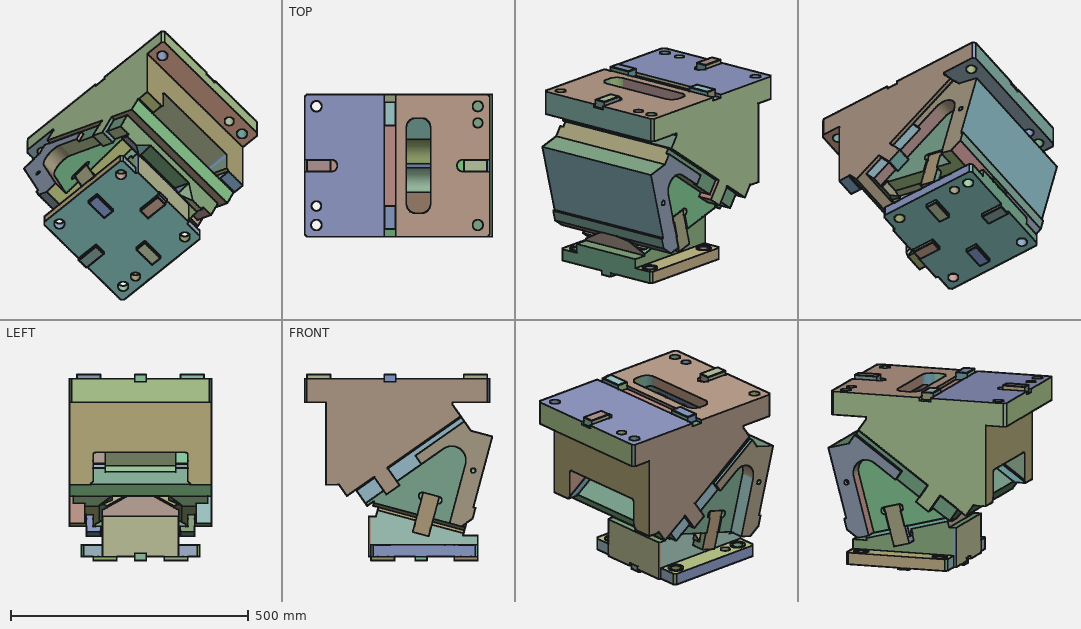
import cadquery as cq
import math


CAM_ANGLE = math.radians(35)
GUIDE_ANGLE = math.radians(15)
SHUT_HEIGHT = 375.0
UNIT_WIDTH = 300.0
HALF_WIDTH = UNIT_WIDTH / 2

CAM_ORIGIN = (89.2, 127.6)
GUIDE_ORIGIN = (145.78, 113.3)
CORNER_CHAMFER = 5.0
OVERCUT = 20.0

KEY_LENGTH = 50.0
KEY_WIDTH = 25.0
KEY_HEIGHT = 16.0
KEY_SEAT = 7.0
KEY_CHAMFER = 1.0

BOLT_DIAMETER = 22.0
DOWEL_DIAMETER = 20.0

DRIVER_LENGTH = 390.0
DRIVER_PLATE = 50.0
DRIVER_BODY_LEFT = 45.0
DRIVER_BODY_BOTTOM = 151.0
DRIVER_NECK = (312.0, 320.0)
CAM_LENGTH = 293.0
HOOK_START = 70.0
HOOK_END = 104.0
HOOK_DEPTH = 45.0
DRIVER_HOLE_INSET = 25.0
DRIVER_DOWEL_LEFT_Y = -85.0
DRIVER_DOWEL_RIGHT_Y = 90.0
DRIVER_GROOVE_X = 180.0
DRIVER_CROSS_KEY_Y = 109.0
DRIVER_SEAT_LENGTH = 69.0
DRIVER_KEY_INSET = 5.0

POCKET_X = 240.0
POCKET_HALF_LENGTH = 100.0
POCKET_WIDTH = 51.0
POCKET_CORNER = 20.0
POCKET_FLOOR = 59.0
UNDERCUT_START = 220.0
UNDERCUT_END = 273.0
UNDERCUT_HEIGHT = 25.0
SPRING_RADIUS = 26.0
SPRING_Y = 30.0

WINDOW_HALF_WIDTH = 100.0
WINDOW_TOP = 219.4
WINDOW_CORNER = 5.0
WINDOW_FLARE = 5.0
FLARE_HEIGHT = 20.0
WINDOW_FLOOR = 30.8
RECESS_HALF_WIDTH = 74.0
RECESS_DEPTH = 15.0
RECESS_START = 45.5
RECESS_END = 89.0
STEP_STARTS = (58.5, 71.5)
STEP_HEIGHT = 1.5

CAM_GAP = 1.5
FLANGE_START = 23.0
FLANGE_BOTTOM = 35.0
FLANGE_HALF_WIDTH = 142.0
NOSE_BOTTOM = 41.6
CORE_HALF_WIDTH = 117.0
SHOULDER_START = 167.0
SHOULDER_DROP = 13.0
SLIDER_FACE = 205.3
SLIDER_TOP = 199.9
HEEL_FACE = 210.0
HEEL_TOP = 45.5
HEEL_BOTTOM = 22.0
GUIDE_END = 199.6
TOE_START = 191.5
POCKET_WALL = 165.4
SIDE_POCKET_RADIUS = 30.0
LIP_DEPTH = 7.0
LIP_OUTER = 87.0
NOSE_VEE_FLAT = 60.0
NOSE_VEE_DEPTH = 9.0
NOSE_WEB = 16.0
SIDE_HOLE = (355.3, 181.5)
SIDE_HOLE_DIAMETER = 10.0
SIDE_HOLE_DEPTH = 15.0
DRILL_POINT_ANGLE = math.radians(118)

RETAINER_START = 95.0
RETAINER_END = 130.0
RETAINER_TOP = 48.2
RETAINER_BOTTOM = -38.0
RETAINER_FOOT = 12.5
RETAINER_OUTER = 114.0
RETAINER_INNER = 100.0
RETAINER_FOOT_INNER = 84.0
RELIEF_RADIUS = 7.5

BASE_LEFT = 135.0
BASE_RIGHT = 365.0
BASE_HALF_WIDTH = 81.0
BASE_LEFT_HEIGHT = 85.0
BASE_RIGHT_HEIGHT = 45.0
BASE_EDGE_CHAMFER = (5.4, 1.6)
ROOF_START = 11.5
ROOF_EAVE = -12.8
ROOF_PITCH = math.radians(30)
ROOF_FLAT = 20.0
FLANGE_LEFT = 140.0
BASE_FLANGE_HALF_WIDTH = 125.0
BASE_FLANGE_HEIGHT = 25.0
BASE_BOLT_X = (165.0, 340.0)
BASE_HOLE_Y = 100.0
BASE_DOWEL_X = 305.0
SPOTFACE_DIAMETER = 31.5
SPOTFACE_DEPTH = 1.0
BASE_KEY_X = 245.5
BASE_CROSS_KEY_Y = 75.0
LUG_OUTER = 95.0


def cam(along, above):
    """X, Z of a point given along the cam face and square to it."""
    x = CAM_ORIGIN[0] + along * math.cos(CAM_ANGLE) - above * math.sin(CAM_ANGLE)
    z = CAM_ORIGIN[1] + along * math.sin(CAM_ANGLE) + above * math.cos(CAM_ANGLE)
    return (x, z)


def guide(along, above):
    """X, Z of a point given along the falling guide and square to it."""
    x = GUIDE_ORIGIN[0] + along * math.cos(GUIDE_ANGLE) + above * math.sin(GUIDE_ANGLE)
    z = GUIDE_ORIGIN[1] - along * math.sin(GUIDE_ANGLE) + above * math.cos(GUIDE_ANGLE)
    return (x, z)


BETWEEN = CAM_ANGLE + GUIDE_ANGLE
OFFSET_X = CAM_ORIGIN[0] - GUIDE_ORIGIN[0]
OFFSET_Z = CAM_ORIGIN[1] - GUIDE_ORIGIN[1]
CAM_ORIGIN_ALONG = OFFSET_X * math.cos(GUIDE_ANGLE) - OFFSET_Z * math.sin(GUIDE_ANGLE)
CAM_ORIGIN_ABOVE = OFFSET_X * math.sin(GUIDE_ANGLE) + OFFSET_Z * math.cos(GUIDE_ANGLE)


def cam_level_at_guide_station(cam_above, guide_along):
    """X, Z where a line parallel to the cam face meets a line square to the guide."""
    reach = guide_along - CAM_ORIGIN_ALONG + cam_above * math.sin(BETWEEN)
    return cam(reach / math.cos(BETWEEN), cam_above)


def cam_station_at_guide_level(cam_along, guide_above):
    """X, Z where a line square to the cam face meets a line parallel to the guide."""
    rise = guide_above - CAM_ORIGIN_ABOVE - cam_along * math.sin(BETWEEN)
    return cam(cam_along, rise / math.cos(BETWEEN))


def slab(outline, y_low, y_high):
    """An X-Z outline extruded between two Y values."""
    plane = cq.Workplane("XZ", origin=(0, y_high, 0))
    return plane.polyline(outline).close().extrude(y_high - y_low)


def wide_slab(outline, half_width):
    return slab(outline, -half_width, half_width)


def both_sides(outline, inner, outer):
    """Two mirrored slabs lying between the given distances from Y = 0."""
    return slab(outline, -outer, -inner).union(slab(outline, inner, outer))


def prism(section, origin, direction):
    """A section in Y and height, extruded along a direction vector in the X-Z plane."""
    x, z = origin
    run_x, run_z = direction
    plane = cq.Plane(origin=(x, 0, z), xDir=(0, 1, 0), normal=(run_x, 0, run_z))
    return cq.Workplane(plane).polyline(section).close().extrude(math.hypot(run_x, run_z))


def cam_prism(section, start, end):
    """A section in Y and height above the cam face, extruded along the cam face."""
    length = end - start
    return prism(section, cam(start, 0), (length * math.cos(CAM_ANGLE), length * math.sin(CAM_ANGLE)))


def guide_prism(section, start, end):
    """A section in Y and height above the guide, extruded along the guide."""
    length = end - start
    return prism(section, guide(start, 0), (length * math.cos(GUIDE_ANGLE), -length * math.sin(GUIDE_ANGLE)))


def mirrored_section(half):
    """Closes a half section, listed for positive Y, by its mirror image."""
    return half + [(-y, height) for y, height in reversed(half)]


def box(x_low, x_high, y_low, y_high, z_low, z_high):
    size = (x_high - x_low, y_high - y_low, z_high - z_low)
    return cq.Workplane("XY").box(*size, centered=False).translate((x_low, y_low, z_low))


def key(x, y, along_x, z_low, exposed_face):
    """A key bar centred on x, y, with the rim of its exposed face chamfered."""
    size_x, size_y = (KEY_LENGTH, KEY_WIDTH) if along_x else (KEY_WIDTH, KEY_LENGTH)
    bar = cq.Workplane("XY").box(size_x, size_y, KEY_HEIGHT, centered=(True, True, False))
    return bar.faces(exposed_face).chamfer(KEY_CHAMFER).translate((x, y, z_low))


def key_seat(open_x, closed_x, z_low, z_high):
    """A slot on Y = 0 open at one X end and rounded at the other."""
    radius = KEY_WIDTH / 2
    centre_x = closed_x - math.copysign(radius, closed_x - open_x)
    straight = box(min(open_x, centre_x), max(open_x, centre_x), -radius, radius, z_low, z_high)
    round_end = cq.Workplane("XY", origin=(centre_x, 0, z_low)).circle(radius).extrude(z_high - z_low)
    return straight.union(round_end)


def drill(points, diameter, z_low, z_high):
    plane = cq.Workplane("XY", origin=(0, 0, z_low))
    return plane.pushPoints(points).circle(diameter / 2).extrude(z_high - z_low)


def spring_pocket():
    """Pocket from the top, undercut at its upper end, with two spring grooves in its sloping floor."""
    shaft = box(
        POCKET_X - POCKET_WIDTH / 2, POCKET_X + POCKET_WIDTH / 2,
        -POCKET_HALF_LENGTH, POCKET_HALF_LENGTH,
        0, SHUT_HEIGHT,
    )
    shaft = shaft.edges("|Z").fillet(POCKET_CORNER)
    undercut = cam_prism(
        [
            (-POCKET_HALF_LENGTH, POCKET_FLOOR - SPRING_RADIUS),
            (POCKET_HALF_LENGTH, POCKET_FLOOR - SPRING_RADIUS),
            (POCKET_HALF_LENGTH, POCKET_FLOOR + UNDERCUT_HEIGHT),
            (-POCKET_HALF_LENGTH, POCKET_FLOOR + UNDERCUT_HEIGHT),
        ],
        UNDERCUT_START,
        UNDERCUT_END,
    )
    along = cq.Vector(math.cos(CAM_ANGLE), 0, math.sin(CAM_ANGLE))
    upper_end = cq.selectors.DirectionMinMaxSelector(along, True)
    undercut = undercut.faces(upper_end).edges("not |Y").fillet(POCKET_CORNER)
    above_floor = wide_slab(
        [
            cam(0, POCKET_FLOOR),
            cam(2 * CAM_LENGTH, POCKET_FLOOR),
            cam(2 * CAM_LENGTH, 2 * CAM_LENGTH),
            cam(0, 2 * CAM_LENGTH),
        ],
        HALF_WIDTH,
    )
    x, z = cam(0, POCKET_FLOOR)
    groove_plane = cq.Plane(origin=(x, 0, z), xDir=(0, 1, 0), normal=along)
    grooves = (
        cq.Workplane(groove_plane)
        .pushPoints([(-SPRING_Y, 0), (SPRING_Y, 0)])
        .circle(SPRING_RADIUS)
        .extrude(2 * CAM_LENGTH)
    )
    return shaft.union(undercut).intersect(above_floor.union(grooves))


def window():
    """Opening in the left wall above a floor parallel to the cam face, with a sunk middle."""
    opening = box(
        DRIVER_BODY_LEFT - OVERCUT, DRIVER_LENGTH / 2,
        -WINDOW_HALF_WIDTH, WINDOW_HALF_WIDTH,
        DRIVER_BODY_BOTTOM - OVERCUT, WINDOW_TOP,
    )
    opening = opening.edges("|X and >Z").fillet(WINDOW_CORNER)
    above_floor = wide_slab(
        [
            cam(-CAM_LENGTH, WINDOW_FLOOR),
            cam(STEP_STARTS[0], WINDOW_FLOOR),
            cam(STEP_STARTS[0], WINDOW_FLOOR + STEP_HEIGHT),
            cam(STEP_STARTS[1], WINDOW_FLOOR + STEP_HEIGHT),
            cam(STEP_STARTS[1], WINDOW_FLOOR + 2 * STEP_HEIGHT),
            cam(CAM_LENGTH, WINDOW_FLOOR + 2 * STEP_HEIGHT),
            cam(CAM_LENGTH, CAM_LENGTH),
            cam(-CAM_LENGTH, CAM_LENGTH),
        ],
        HALF_WIDTH,
    )
    behind_recess = wide_slab(
        [
            cam(RECESS_END, 0),
            cam(CAM_LENGTH, 0),
            cam(CAM_LENGTH, CAM_LENGTH),
            cam(RECESS_END, CAM_LENGTH),
        ],
        RECESS_HALF_WIDTH,
    )
    recess = wide_slab(
        [
            cam(RECESS_START, WINDOW_FLOOR - RECESS_DEPTH),
            cam(RECESS_END, WINDOW_FLOOR - RECESS_DEPTH),
            cam(RECESS_END, WINDOW_FLOOR + 2 * STEP_HEIGHT),
            cam(RECESS_START, WINDOW_FLOOR + 2 * STEP_HEIGHT),
        ],
        RECESS_HALF_WIDTH,
    )
    opening = opening.intersect(above_floor.cut(behind_recess).union(recess))
    flare = mirrored_section(
        [
            (WINDOW_HALF_WIDTH + WINDOW_FLARE, WINDOW_FLOOR),
            (WINDOW_HALF_WIDTH + WINDOW_FLARE, WINDOW_FLOOR + FLARE_HEIGHT - WINDOW_FLARE),
            (WINDOW_HALF_WIDTH, WINDOW_FLOOR + FLARE_HEIGHT),
        ]
    )
    return opening.union(cam_prism(flare, -2 * OVERCUT, STEP_STARTS[0]))


def make_driver():
    plate_bottom = SHUT_HEIGHT - DRIVER_PLATE
    plate = box(0, DRIVER_LENGTH, -HALF_WIDTH, HALF_WIDTH, plate_bottom, SHUT_HEIGHT)
    plate = plate.edges("|Z").chamfer(CORNER_CHAMFER)
    heel_drop = (cam(0, WINDOW_FLOOR)[1] - DRIVER_BODY_BOTTOM) / math.sin(CAM_ANGLE)
    body = wide_slab(
        [
            (DRIVER_BODY_LEFT, plate_bottom),
            (DRIVER_BODY_LEFT, DRIVER_BODY_BOTTOM),
            cam(-heel_drop, WINDOW_FLOOR),
            cam(0, WINDOW_FLOOR),
            cam(0, 0),
            cam(CAM_LENGTH, 0),
            DRIVER_NECK,
            (DRIVER_NECK[0], plate_bottom),
        ],
        HALF_WIDTH,
    )
    cheek = [
        cam(HOOK_START, 0),
        cam(HOOK_END, 0),
        cam(HOOK_END, -HOOK_DEPTH),
        cam(HOOK_START, -HOOK_DEPTH),
    ]
    hook = [
        cam(HOOK_START, -FLANGE_BOTTOM),
        cam(HOOK_END, -FLANGE_BOTTOM),
        cam(HOOK_END, -HOOK_DEPTH),
        cam(HOOK_START, -HOOK_DEPTH),
    ]
    driver = plate.union(body)
    driver = driver.union(both_sides(cheek, FLANGE_HALF_WIDTH, HALF_WIDTH))
    driver = driver.union(both_sides(hook, CORE_HALF_WIDTH, HALF_WIDTH))
    driver = driver.cut(window()).cut(spring_pocket())

    left_x = DRIVER_HOLE_INSET
    right_x = DRIVER_LENGTH - DRIVER_HOLE_INSET
    bolt_y = HALF_WIDTH - DRIVER_HOLE_INSET
    bolts = [(x, y) for x in (left_x, right_x) for y in (-bolt_y, bolt_y)]
    dowels = [(left_x, DRIVER_DOWEL_LEFT_Y), (right_x, DRIVER_DOWEL_RIGHT_Y)]
    driver = driver.cut(drill(bolts, BOLT_DIAMETER, plate_bottom, SHUT_HEIGHT))
    driver = driver.cut(drill(dowels, DOWEL_DIAMETER, plate_bottom, SHUT_HEIGHT))

    seat_z = SHUT_HEIGHT - KEY_SEAT
    groove_left = DRIVER_GROOVE_X - KEY_WIDTH / 2
    groove_right = DRIVER_GROOVE_X + KEY_WIDTH / 2
    driver = driver.cut(box(groove_left, groove_right, -HALF_WIDTH, HALF_WIDTH, seat_z, SHUT_HEIGHT))
    driver = driver.cut(key_seat(0, DRIVER_SEAT_LENGTH, seat_z, SHUT_HEIGHT))
    driver = driver.cut(key_seat(DRIVER_LENGTH, DRIVER_LENGTH - DRIVER_SEAT_LENGTH, seat_z, SHUT_HEIGHT))
    key_x = DRIVER_KEY_INSET + KEY_LENGTH / 2
    for x in (key_x, DRIVER_LENGTH - key_x):
        driver = driver.union(key(x, 0, True, seat_z, ">Z"))
    for y in (-DRIVER_CROSS_KEY_Y, DRIVER_CROSS_KEY_Y):
        driver = driver.union(key(DRIVER_GROOVE_X, y, False, seat_z, ">Z"))
    return driver


def roof_height(y):
    """Height of the roof-shaped guide above the guide line."""
    return ROOF_EAVE + (BASE_HALF_WIDTH - y) * math.tan(ROOF_PITCH)


def roof_section(half_width, bottom):
    half = [(half_width, roof_height(half_width)), (ROOF_FLAT, roof_height(ROOF_FLAT))]
    if bottom < roof_height(half_width):
        half = [(half_width, bottom)] + half
    return mirrored_section(half)


def slider_block():
    outline = [
        cam(FLANGE_START, -CAM_GAP),
        cam(CAM_LENGTH, -CAM_GAP),
        cam_station_at_guide_level(CAM_LENGTH, SLIDER_TOP),
        guide(SLIDER_FACE, SLIDER_TOP),
        guide(SLIDER_FACE, HEEL_TOP),
        guide(HEEL_FACE, HEEL_TOP),
        guide(HEEL_FACE, HEEL_BOTTOM),
        guide(TOE_START, 0),
        guide(0, 0),
        cam_level_at_guide_station(-NOSE_BOTTOM, 0),
        cam(FLANGE_START, -NOSE_BOTTOM),
    ]
    return wide_slab(outline, HALF_WIDTH)


def flange_relief():
    """Narrows the upper edge and the left end of the slider to the flange width."""
    outline = [
        cam(0, OVERCUT),
        cam(CAM_LENGTH + OVERCUT, OVERCUT),
        cam(CAM_LENGTH + OVERCUT, -SHOULDER_DROP),
        cam(SHOULDER_START, -SHOULDER_DROP),
        cam(SHOULDER_START, -FLANGE_BOTTOM - OVERCUT),
        cam(0, -FLANGE_BOTTOM - OVERCUT),
    ]
    return both_sides(outline, FLANGE_HALF_WIDTH, HALF_WIDTH)


def side_pockets():
    """Wedge-shaped side pockets, open downwards and to the left below the flange."""
    corner = cam_level_at_guide_station(-FLANGE_BOTTOM, POCKET_WALL)
    outline = [
        cam(0, -FLANGE_BOTTOM),
        corner,
        guide(POCKET_WALL, -OVERCUT),
        guide(CAM_ORIGIN_ALONG, -OVERCUT),
    ]
    pockets = both_sides(outline, CORE_HALF_WIDTH, HALF_WIDTH)
    for y in (-HALF_WIDTH, HALF_WIDTH):
        nearest = cq.selectors.NearestToPointSelector((corner[0], y, corner[1]))
        pockets = pockets.edges("|Y").edges(nearest).fillet(SIDE_POCKET_RADIUS)
    return pockets


def guide_vee():
    """The roof-shaped way under the slider and the wider clearance under its nose."""
    way = guide_prism(roof_section(LIP_OUTER, -LIP_OUTER), 0, HEEL_FACE)
    vee_rise = (LIP_OUTER - NOSE_VEE_FLAT) * math.tan(ROOF_PITCH)
    nose_section = mirrored_section(
        [
            (LIP_OUTER, -LIP_OUTER),
            (LIP_OUTER, -NOSE_VEE_DEPTH),
            (NOSE_VEE_FLAT, vee_rise - NOSE_VEE_DEPTH),
        ]
    )
    nose_crown = wide_slab(
        [
            cam(0, -NOSE_WEB),
            cam_level_at_guide_station(-NOSE_WEB, 0),
            guide(0, 0),
            guide(CAM_ORIGIN_ALONG, 0),
        ],
        NOSE_VEE_FLAT,
    )
    return way.union(guide_prism(nose_section, CAM_ORIGIN_ALONG, 0)).union(nose_crown)


def retainer_recess():
    pocket = both_sides(
        [
            guide(RETAINER_START, 0),
            guide(RETAINER_START, RETAINER_TOP),
            guide(RETAINER_END, RETAINER_TOP),
            guide(RETAINER_END, 0),
        ],
        RETAINER_INNER,
        CORE_HALF_WIDTH,
    )
    relief_height = RETAINER_TOP - RELIEF_RADIUS
    corners = [guide(RETAINER_START, relief_height), guide(RETAINER_END, relief_height)]
    depth = CORE_HALF_WIDTH - RETAINER_INNER
    for front_y in (-RETAINER_INNER, CORE_HALF_WIDTH):
        plane = cq.Workplane("XZ", origin=(0, front_y, 0))
        pocket = pocket.union(plane.pushPoints(corners).circle(RELIEF_RADIUS).extrude(depth))
    return pocket


def retainers():
    """L-shaped bars let into the slider sides that reach under the lugs of the base."""
    foot_top = RETAINER_BOTTOM + RETAINER_FOOT
    section = [
        (RETAINER_OUTER, RETAINER_TOP),
        (RETAINER_OUTER, RETAINER_BOTTOM),
        (RETAINER_FOOT_INNER, RETAINER_BOTTOM),
        (RETAINER_FOOT_INNER, foot_top),
        (RETAINER_INNER, foot_top),
        (RETAINER_INNER, RETAINER_TOP),
    ]
    bar = guide_prism(section, RETAINER_START, RETAINER_END)
    return bar.union(bar.mirror("XZ"))


def side_hole():
    """Blind hole with a drill point, in the -Y side of the slider."""
    x, z = SIDE_HOLE
    radius = SIDE_HOLE_DIAMETER / 2
    entry = cq.Vector(x, -HALF_WIDTH, z)
    inward = cq.Vector(0, 1, 0)
    shank = cq.Solid.makeCylinder(radius, SIDE_HOLE_DEPTH, entry, inward)
    point_height = radius / math.tan(DRILL_POINT_ANGLE / 2)
    point = cq.Solid.makeCone(radius, 0, point_height, entry + inward * SIDE_HOLE_DEPTH, inward)
    return cq.Workplane(shank).union(cq.Workplane(point))


def make_slider():
    lip_inner = BASE_HALF_WIDTH - (LIP_DEPTH / math.tan(ROOF_PITCH))
    lip = guide_prism(mirrored_section([(LIP_OUTER, 0), (lip_inner, -LIP_DEPTH)]), 0, GUIDE_END)
    slider = slider_block().cut(flange_relief()).cut(side_pockets())
    slider = slider.union(lip).cut(guide_vee())
    slider = slider.cut(retainer_recess()).union(retainers())
    hole = side_hole()
    slider = slider.cut(hole).cut(hole.mirror("XZ"))
    return slider


def guide_block():
    """Centre block of the base, its top shaped to the roof."""
    left_drop = guide(ROOF_START, 0)[1] - BASE_LEFT_HEIGHT
    right_drop = guide(GUIDE_END, 0)[1] - BASE_RIGHT_HEIGHT
    left_foot = guide(ROOF_START, -left_drop / math.cos(GUIDE_ANGLE))
    right_foot = guide(GUIDE_END, -right_drop / math.cos(GUIDE_ANGLE))
    block = wide_slab(
        [
            (BASE_LEFT, 0),
            (BASE_LEFT, BASE_LEFT_HEIGHT),
            left_foot,
            guide(ROOF_START, ROOF_EAVE),
            guide(GUIDE_END, ROOF_EAVE),
            right_foot,
            (BASE_RIGHT, BASE_RIGHT_HEIGHT),
            (BASE_RIGHT, 0),
        ],
        BASE_HALF_WIDTH,
    )
    chamfer_x, chamfer_y = BASE_EDGE_CHAMFER
    for side in (-1, 1):
        corner = [
            (BASE_LEFT, side * BASE_HALF_WIDTH),
            (BASE_LEFT + chamfer_x, side * BASE_HALF_WIDTH),
            (BASE_LEFT, side * (BASE_HALF_WIDTH - chamfer_y)),
        ]
        block = block.cut(cq.Workplane("XY").polyline(corner).close().extrude(BASE_LEFT_HEIGHT))
    return block.union(guide_prism(roof_section(BASE_HALF_WIDTH, ROOF_EAVE), ROOF_START, GUIDE_END))


def lugs():
    """Short lugs beside the guide block, held by the retainer feet."""
    bottom = RETAINER_BOTTOM + RETAINER_FOOT
    section = [
        (BASE_HALF_WIDTH, bottom),
        (LUG_OUTER, bottom),
        (LUG_OUTER, roof_height(LUG_OUTER)),
        (BASE_HALF_WIDTH, ROOF_EAVE),
    ]
    lug = guide_prism(section, RETAINER_START, RETAINER_END)
    return lug.union(lug.mirror("XZ"))


def make_base():
    flange = box(
        FLANGE_LEFT, BASE_RIGHT,
        -BASE_FLANGE_HALF_WIDTH, BASE_FLANGE_HALF_WIDTH,
        0, BASE_FLANGE_HEIGHT,
    )
    flange = flange.edges("|Z").chamfer(CORNER_CHAMFER)
    bolts = [(x, y) for x in BASE_BOLT_X for y in (-BASE_HOLE_Y, BASE_HOLE_Y)]
    spotface_z = BASE_FLANGE_HEIGHT - SPOTFACE_DEPTH
    flange = flange.cut(drill(bolts, BOLT_DIAMETER, 0, BASE_FLANGE_HEIGHT))
    flange = flange.cut(drill(bolts, SPOTFACE_DIAMETER, spotface_z, BASE_FLANGE_HEIGHT))
    flange = flange.cut(drill([(BASE_DOWEL_X, -BASE_HOLE_Y)], DOWEL_DIAMETER, 0, BASE_FLANGE_HEIGHT))
    base = guide_block().union(flange).union(lugs())

    key_z = KEY_SEAT - KEY_HEIGHT
    left_key_x = FLANGE_LEFT + KEY_LENGTH / 2
    right_key_x = BASE_RIGHT - KEY_LENGTH / 2
    base = base.cut(box(BASE_LEFT, left_key_x, -KEY_WIDTH / 2, KEY_WIDTH / 2, 0, KEY_SEAT))
    for x in (left_key_x, right_key_x):
        base = base.union(key(x, 0, True, key_z, "<Z"))
    for y in (-BASE_CROSS_KEY_Y, BASE_CROSS_KEY_Y):
        base = base.union(key(BASE_KEY_X, y, False, key_z, "<Z"))
    return base


driver = make_driver()
slider = make_slider()
base = make_base()
result = cq.Compound.makeCompound([body.solids().val() for body in (driver, slider, base)])